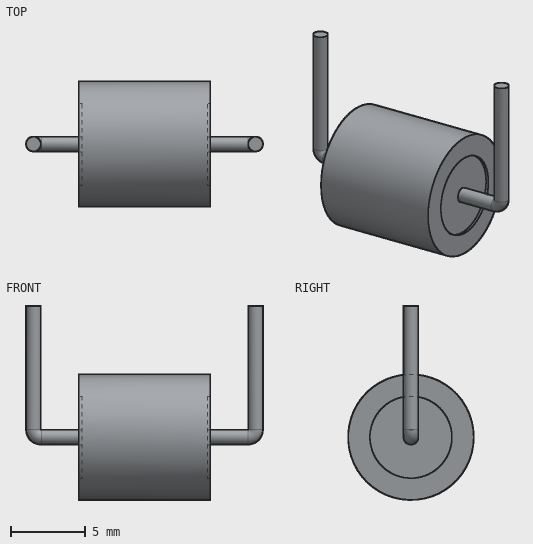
import cadquery as cq

body_diameter = 8.5
body_length = 8.88

recess_diameter = 5.54
recess_depth = 0.2

overall_length = 16.0
overall_height = 13.1
wire_diameter = 1.0
bend_inner_radius = 0.02

wire_radius = wire_diameter / 2
recess_floor_x = body_length / 2 - recess_depth
lead_top_z = overall_height - body_diameter / 2
bend_x = overall_length / 2 - wire_diameter - bend_inner_radius
bend_z = wire_radius + bend_inner_radius


def make_body():
    body = (
        cq.Workplane("YZ", origin=(-body_length / 2, 0, 0))
        .circle(body_diameter / 2)
        .extrude(body_length)
    )
    for side in (">X", "<X"):
        body = body.faces(side).workplane().circle(recess_diameter / 2).cutBlind(-recess_depth)
    return body


def make_lead():
    """Lead on the +X end, starting at the recess floor."""
    straight = (
        cq.Workplane("YZ", origin=(recess_floor_x, 0, 0))
        .circle(wire_radius)
        .extrude(bend_x - recess_floor_x)
    )
    bend = (
        cq.Workplane("YZ", origin=(bend_x, 0, 0))
        .circle(wire_radius)
        .revolve(90, (0, bend_z), (-1, bend_z))
    )
    upright = (
        cq.Workplane("XY", origin=(overall_length / 2 - wire_radius, 0, bend_z))
        .circle(wire_radius)
        .extrude(lead_top_z - bend_z)
    )
    return straight.union(bend).union(upright)


lead = make_lead()
result = make_body().union(lead).union(lead.mirror("YZ"))